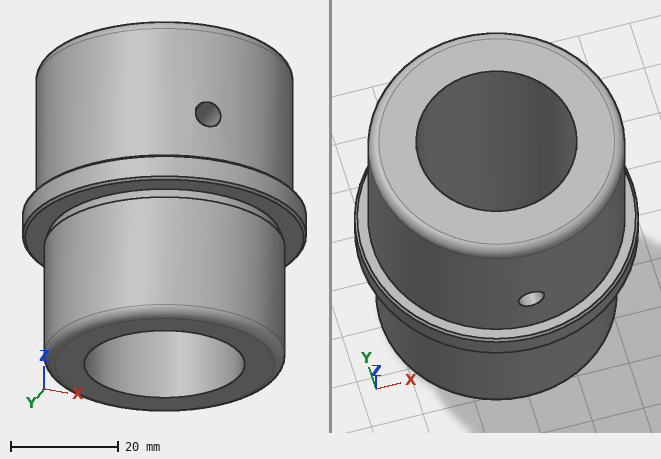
import cadquery as cq

height = 60.0
bore_diameter = 30.0
lower_diameter = 45.0
upper_diameter = 48.0
end_fillet = 2.0

collar_diameter = 53.0
collar_bottom = 26.0
collar_thickness = 5.05
collar_chamfer = 0.5
collar_top = collar_bottom + collar_thickness

relief_height = 2.0
relief_depth = 0.7

hole_diameter = 5.0
hole_height = 41.0


def cylinder(diameter, bottom, top):
    return cq.Workplane("XY").workplane(offset=bottom).circle(diameter / 2).extrude(top - bottom)


def make_lower_barrel():
    radius = lower_diameter / 2
    relief_start = collar_bottom - relief_height
    profile = (
        cq.Workplane("XZ")
        .lineTo(radius, 0)
        .lineTo(radius, relief_start)
        .lineTo(radius - relief_depth, collar_bottom)
        .lineTo(0, collar_bottom)
        .close()
    )
    return profile.revolve(360, (0, 0, 0), (0, 1, 0)).faces("<Z").edges().fillet(end_fillet)


def make_collar():
    return cylinder(collar_diameter, collar_bottom, collar_top).edges().chamfer(collar_chamfer)


def make_upper_barrel():
    return cylinder(upper_diameter, collar_top, height).faces(">Z").edges().fillet(end_fillet)


bore = cylinder(bore_diameter, 0, height)
radial_hole = (
    cq.Workplane("XZ")
    .center(0, hole_height)
    .circle(hole_diameter / 2)
    .extrude(upper_diameter / 2)
)

result = make_lower_barrel().union(make_collar()).union(make_upper_barrel())
result = result.cut(bore).cut(radial_hole)